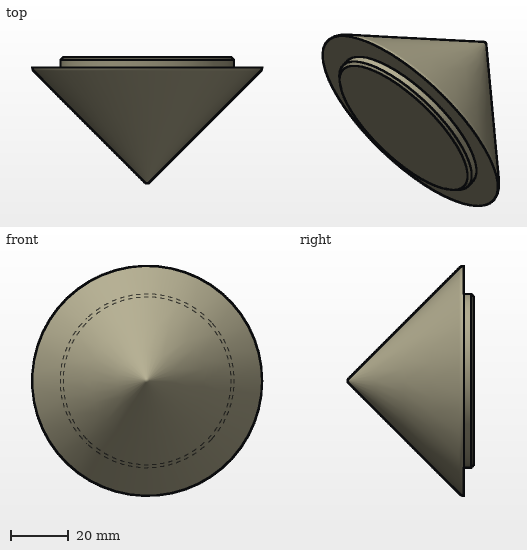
import cadquery as cq
import math

rim_radius = 39.7
total_length = 43.55

spigot_radius = 60.0 / 2
spigot_length = 3.5
spigot_chamfer = 1.0

rim_round = 2.0
tip_round = 1.0
cone_half_angle = math.radians(45)

tip_y = spigot_length - total_length
tip_center_y = tip_y + tip_round


def tip_point(angle):
    """Point on the tip round, at an angle from the axis."""
    return (tip_round * math.sin(angle), tip_center_y - tip_round * math.cos(angle))


def rim_point(angle):
    """Point on the rim round, at an angle from the radial direction."""
    center_radius = rim_radius - rim_round
    return (center_radius + rim_round * math.cos(angle), -rim_round * math.sin(angle))


tip_sweep = math.pi / 2 - cone_half_angle
rim_sweep = cone_half_angle

half_profile = (
    cq.Workplane("XY")
    .moveTo(0, tip_y)
    .threePointArc(tip_point(tip_sweep / 2), tip_point(tip_sweep))
    .lineTo(*rim_point(rim_sweep))
    .threePointArc(rim_point(rim_sweep / 2), rim_point(0))
    .lineTo(spigot_radius, 0)
    .lineTo(spigot_radius, spigot_length - spigot_chamfer)
    .lineTo(spigot_radius - spigot_chamfer, spigot_length)
    .lineTo(0, spigot_length)
    .close()
)
result = half_profile.revolve(360, (0, 0, 0), (0, 1, 0))